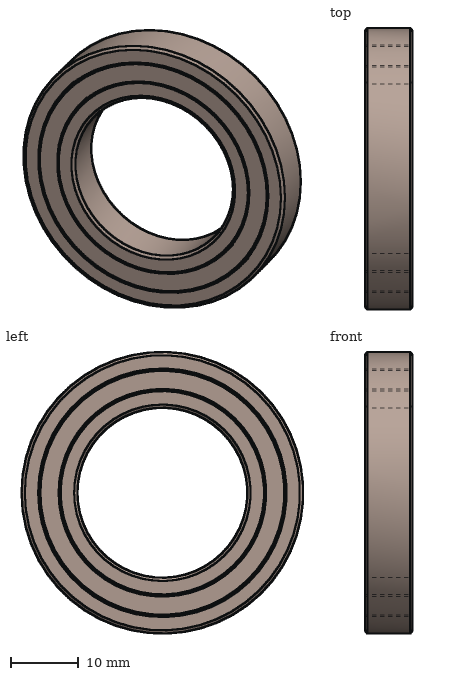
import cadquery as cq

width = 7.0
outer_diameter = 41.5
bore_diameter = 25.0

inner_ring_outer_diameter = 30.0
middle_ring_inner_diameter = 30.5
middle_ring_outer_diameter = 36.0
outer_ring_inner_diameter = 36.5

chamfer_radial = 0.5
chamfer_axial = 0.35


def revolved_ring(outline):
    """Revolve an (axial, radial) outline about the X axis."""
    return cq.Workplane("XY").polyline(outline).close().revolve(360, (0, 0, 0), (1, 0, 0))


def chamfered_ring(chamfered_diameter, plain_diameter):
    """Ring with both edges of one cylindrical side chamfered."""
    half_width = width / 2
    chamfered_radius = chamfered_diameter / 2
    plain_radius = plain_diameter / 2
    toward_plain = 1 if plain_radius > chamfered_radius else -1
    face_edge_radius = chamfered_radius + toward_plain * chamfer_radial
    chamfer_start = half_width - chamfer_axial
    return revolved_ring([
        (-half_width, plain_radius),
        (-half_width, face_edge_radius),
        (-chamfer_start, chamfered_radius),
        (chamfer_start, chamfered_radius),
        (half_width, face_edge_radius),
        (half_width, plain_radius),
    ])


def plain_ring(inner_diameter, outer_diameter):
    """Ring of rectangular section, as wide as the bearing."""
    return (
        cq.Workplane("YZ")
        .circle(outer_diameter / 2)
        .circle(inner_diameter / 2)
        .extrude(width / 2, both=True)
    )


outer_ring = chamfered_ring(outer_diameter, outer_ring_inner_diameter)
middle_ring = plain_ring(middle_ring_inner_diameter, middle_ring_outer_diameter)
inner_ring = chamfered_ring(bore_diameter, inner_ring_outer_diameter)

result = cq.Compound.makeCompound([outer_ring.val(), middle_ring.val(), inner_ring.val()])